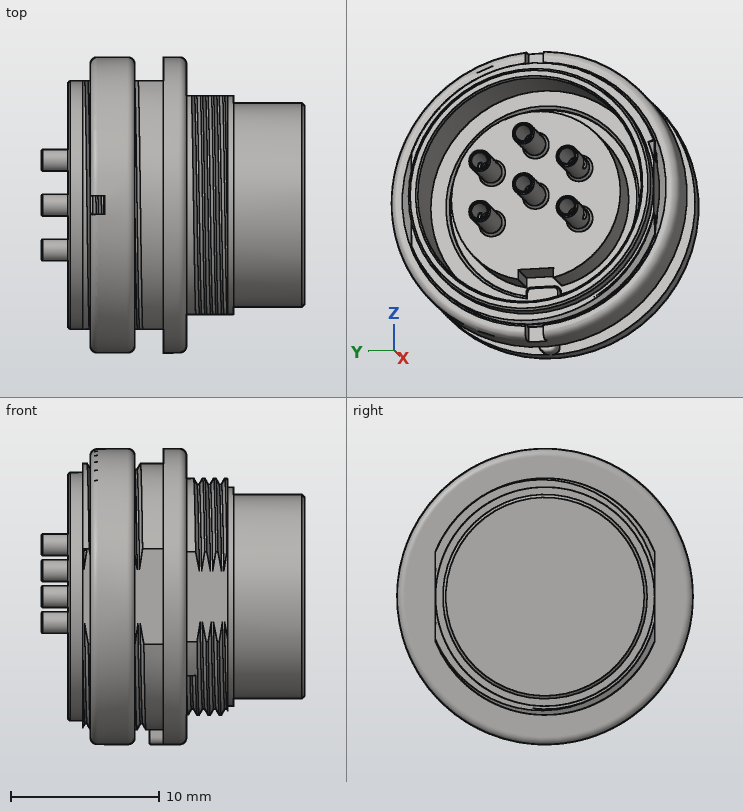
import cadquery as cq
import math


shell_rear_x = 1.8
rear_thread_start_x = 2.8
flange_rear_x = 8.25
flange_front_x = 9.82
front_thread_end_x = 12.6
collar_front_x = 13.0
shell_front_x = 17.8

rear_rim_diameter = 16.8
rear_body_diameter = 18.0
flange_diameter = 20.0
front_body_diameter = 16.0
collar_diameter = 14.8
plug_diameter = 13.8
bore_diameter = 15.5
rim_outer_chamfer = 0.15
rim_inner_chamfer = 0.12
plug_edge_chamfer = 0.2
flange_edge_radius = 0.5

thread_pitch = 0.75
thread_depth = 0.4
thread_root_width = 0.15
thread_flank_angle = 30.0
thread_overcut = 0.05
blank_overlength = 3 * thread_pitch
front_groove_start_x = 10.12
front_groove_start_angle = 222.0
rear_groove_start_x = 2.79
rear_groove_start_angle = 159.0
rear_groove_end_x = 6.96

nut_rear_x = 3.3
nut_front_x = 6.33
nut_diameter = 20.0
nut_bore_diameter = 17.1
nut_mouth_diameter = 18.3
nut_edge_radius = 0.5
nut_slot_width = 1.25
nut_slot_length = 1.0

tab_length = 0.95
tab_width = 1.25
tab_inner_radius = 8.5
tab_edge_radius = 0.17
tab_corner_radius = 0.5

insert_face_x = 3.8
ledge_x = 5.8
groove_floor_x = 6.3
insert_disc_diameter = 11.72
ledge_bore_diameter = 13.0
ledge_mouth_diameter = 13.4
ledge_chamfer = 0.2
insert_notch_width = 2.45
insert_notch_bottom_z = -5.05
key_width = 2.36
key_top_z = -5.8
key_corner_radius = 0.4
key_edge_chamfer = 0.13

pin_circle_radius = 3.5
pin_diameter = 1.48
pin_root_diameter = 1.82
pin_root_length = 0.25
pin_tip_chamfer = 0.1
cup_diameter = 1.1
cup_depth = 2.8
cup_tip_angle = 118.0
side_hole_diameter = 0.8
side_hole_x = 2.3


def ring_cylinder(start_x, end_x, diameter):
    """Solid cylinder on the connector axis between two axial positions."""
    return cq.Workplane("YZ", origin=(start_x, 0, 0)).circle(diameter / 2).extrude(end_x - start_x)


def cone(start_x, end_x, start_diameter, end_diameter):
    """Solid cone frustum on the connector axis."""
    frustum = cq.Solid.makeCone(
        start_diameter / 2, end_diameter / 2, end_x - start_x, cq.Vector(start_x, 0, 0), cq.Vector(1, 0, 0)
    )
    return cq.Workplane("XY").newObject([frustum])


def block(start_x, end_x, width, bottom_z, top_z):
    """Box centred on Y = 0."""
    size_x = end_x - start_x
    size_z = top_z - bottom_z
    return cq.Workplane("XY", origin=(start_x + size_x / 2, 0, bottom_z)).box(
        size_x, width, size_z, centered=(True, True, False)
    )


def thread_groove(start_x, end_x, start_angle, diameter):
    """Helical V groove; the angle is measured from +Y towards +Z."""
    crest_radius = diameter / 2
    root_radius = crest_radius - thread_depth
    outer_radius = crest_radius + thread_overcut
    root_half_width = thread_root_width / 2
    flank_rise = (outer_radius - root_radius) * math.tan(math.radians(thread_flank_angle))
    outer_half_width = root_half_width + flank_rise
    helix = cq.Wire.makeHelix(thread_pitch, end_x - start_x, root_radius)
    profile = [
        (root_radius, -root_half_width),
        (outer_radius, -outer_half_width),
        (outer_radius, outer_half_width),
        (root_radius, root_half_width),
    ]
    groove = cq.Workplane("XZ").polyline(profile).close().sweep(cq.Workplane(helix), isFrenet=True)
    groove = groove.rotate((0, 0, 0), (0, 0, 1), start_angle + 90)
    groove = groove.rotate((0, 0, 0), (0, 1, 0), 90)
    return groove.translate((start_x, 0, 0))


def threaded_body(start_x, end_x, diameter, across_flats, groove):
    """Threaded cylinder with a flat on its +Y and -Y sides."""
    blank = ring_cylinder(start_x - blank_overlength, end_x + blank_overlength, diameter)
    slab = block(start_x, end_x, across_flats, -diameter, diameter)
    return blank.cut(groove).intersect(slab)


def make_rear_body():
    groove = thread_groove(
        rear_groove_start_x, rear_groove_end_x, rear_groove_start_angle, rear_body_diameter
    )
    body = threaded_body(
        rear_thread_start_x, flange_rear_x, rear_body_diameter, rear_rim_diameter, groove
    )
    rim = ring_cylinder(shell_rear_x, rear_thread_start_x, rear_rim_diameter)
    rim = rim.faces("<X").edges().chamfer(rim_outer_chamfer)
    return body.union(rim)


def make_front_body():
    groove_end_x = front_thread_end_x + thread_pitch
    groove = thread_groove(
        front_groove_start_x, groove_end_x, front_groove_start_angle, front_body_diameter
    )
    body = threaded_body(
        flange_front_x, front_thread_end_x, front_body_diameter, collar_diameter, groove
    )
    collar = ring_cylinder(front_thread_end_x, collar_front_x, collar_diameter)
    plug = ring_cylinder(collar_front_x, shell_front_x, plug_diameter)
    plug = plug.faces(">X").edges().chamfer(plug_edge_chamfer)
    return body.union(collar).union(plug)


def make_flange():
    flange = ring_cylinder(flange_rear_x, flange_front_x, flange_diameter)
    flange = flange.faces(">X").edges().fillet(flange_edge_radius)
    tab_rear_x = flange_rear_x - tab_length
    tab = block(tab_rear_x, flange_rear_x, tab_width, -flange_diameter / 2, -tab_inner_radius)
    tab = tab.intersect(ring_cylinder(tab_rear_x, flange_rear_x, flange_diameter))
    tab = tab.edges("|X").edges("<Z").fillet(tab_corner_radius)
    tab = tab.faces("<X").edges("not >Z").fillet(tab_edge_radius)
    return flange.union(tab)


def make_nut():
    nut = ring_cylinder(nut_rear_x, nut_front_x, nut_diameter)
    nut = nut.edges().fillet(nut_edge_radius)
    nut = nut.cut(ring_cylinder(nut_rear_x, nut_front_x, nut_bore_diameter))
    mouth_depth = (nut_mouth_diameter - nut_bore_diameter) / 2
    nut = nut.cut(cone(nut_rear_x, nut_rear_x + mouth_depth, nut_mouth_diameter, nut_bore_diameter))
    slot_end_x = nut_rear_x + nut_slot_length
    return nut.cut(block(nut_rear_x, slot_end_x, nut_slot_width, -nut_diameter, nut_diameter))


def make_bore():
    """Space removed from the shell: open bore, keyed ledge opening and annular groove."""
    bore = ring_cylinder(shell_rear_x, ledge_x, bore_diameter)
    mouth_diameter = bore_diameter + 2 * rim_inner_chamfer
    bore = bore.union(cone(shell_rear_x, shell_rear_x + rim_inner_chamfer, mouth_diameter, bore_diameter))
    opening = ring_cylinder(ledge_x, groove_floor_x, ledge_bore_diameter)
    opening = opening.union(
        cone(ledge_x, ledge_x + ledge_chamfer, ledge_mouth_diameter, ledge_bore_diameter)
    )
    key = block(ledge_x, groove_floor_x, key_width, -bore_diameter / 2, key_top_z)
    key = key.faces(">Z").edges("|X").fillet(key_corner_radius)
    key = key.faces("<X").edges("not <Z").chamfer(key_edge_chamfer)
    return bore.union(opening.cut(key))


def make_insert():
    disc = ring_cylinder(insert_face_x, groove_floor_x, insert_disc_diameter)
    notch = block(
        insert_face_x, groove_floor_x, insert_notch_width, -insert_disc_diameter, insert_notch_bottom_z
    )
    return disc.cut(notch)


def make_pin(hole_side):
    """Solder-cup pin on the X axis; hole_side is +1 or -1 for a side hole towards that Y, 0 for none."""
    pin = ring_cylinder(0, insert_face_x, pin_diameter)
    pin = pin.faces("<X").edges().chamfer(pin_tip_chamfer)
    pin = pin.union(cone(insert_face_x - pin_root_length, insert_face_x, pin_diameter, pin_root_diameter))
    pin = pin.cut(ring_cylinder(0, cup_depth, cup_diameter))
    cup_tip_length = cup_diameter / 2 / math.tan(math.radians(cup_tip_angle / 2))
    pin = pin.cut(cone(cup_depth, cup_depth + cup_tip_length, cup_diameter, 0))
    if hole_side != 0:
        hole = cq.Workplane("XZ", origin=(side_hole_x, 0, 0)).circle(side_hole_diameter / 2)
        pin = pin.cut(hole.extrude(-hole_side * pin_diameter))
    return pin


def pin_positions():
    """Centre pin and five places of a six-place circle; the lowest place stays free for the key."""
    positions = [(0, 0, 0)]
    for angle in (-30, 30, 90, 150, 210):
        y = pin_circle_radius * math.cos(math.radians(angle))
        z = pin_circle_radius * math.sin(math.radians(angle))
        hole_side = 0 if angle == 90 else math.copysign(1, y)
        positions.append((y, z, hole_side))
    return positions


result = make_rear_body().union(make_flange()).union(make_front_body()).union(make_nut())
result = result.cut(make_bore()).union(make_insert())
for pin_y, pin_z, pin_hole_side in pin_positions():
    result = result.union(make_pin(pin_hole_side).translate((0, pin_y, pin_z)))